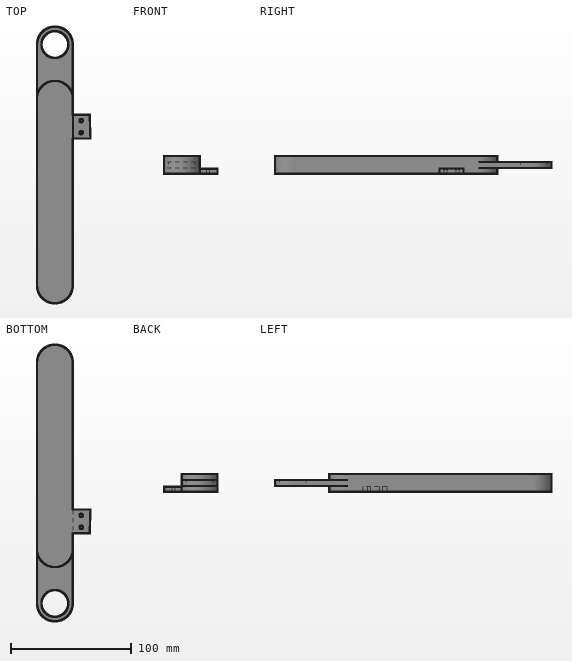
import cadquery as cq

body_width = 30.0
body_height = 15.0
body_length = 185.0
end_radius = body_width / 2

total_length = 230.0
arm_thickness = 5.0
ring_hole_diameter = 22.0

total_width = 44.6
tab_thickness = 4.4
tab_front_y = 136.8
tab_length = 20.0
tab_outer_edge_lean = 0.7
tab_hole_diameter = 2.5
tab_hole_spacing = 10.0
tab_hole_x = 21.8

tab_back_y = tab_front_y + tab_length
tab_outer_x = total_width - end_radius
ring_center_y = total_length - end_radius
arm_bottom_z = (body_height - arm_thickness) / 2


def round_ended_bar(start_y, end_y, bottom_z, height):
    """Bar of the body width along Y with semicircular ends."""
    return (
        cq.Workplane("XY", origin=(0, (start_y + end_y) / 2, bottom_z))
        .slot2D(end_y - start_y, body_width, 90)
        .extrude(height)
    )


def make_arm():
    """Strap starting at the body's back arc center, with a hole in its round end."""
    arm_start_y = body_length - body_width
    arm = round_ended_bar(arm_start_y, total_length, arm_bottom_z, arm_thickness)
    ring_hole = (
        cq.Workplane("XY", origin=(0, ring_center_y, arm_bottom_z))
        .circle(ring_hole_diameter / 2)
        .extrude(arm_thickness)
    )
    return arm.cut(ring_hole)


def make_tab():
    """Plate with a slightly leaning outer edge and two screw holes."""
    tab_middle_y = (tab_front_y + tab_back_y) / 2
    hole_centers = [
        (tab_hole_x, tab_middle_y - tab_hole_spacing / 2),
        (tab_hole_x, tab_middle_y + tab_hole_spacing / 2),
    ]
    plate = (
        cq.Workplane("XY")
        .moveTo(0, tab_front_y)
        .lineTo(tab_outer_x, tab_front_y)
        .lineTo(tab_outer_x - tab_outer_edge_lean, tab_back_y)
        .lineTo(0, tab_back_y)
        .close()
        .extrude(tab_thickness)
    )
    holes = (
        cq.Workplane("XY")
        .pushPoints(hole_centers)
        .circle(tab_hole_diameter / 2)
        .extrude(tab_thickness)
    )
    return plate.cut(holes)


body = round_ended_bar(0, body_length, 0, body_height)
result = body.union(make_arm()).union(make_tab())